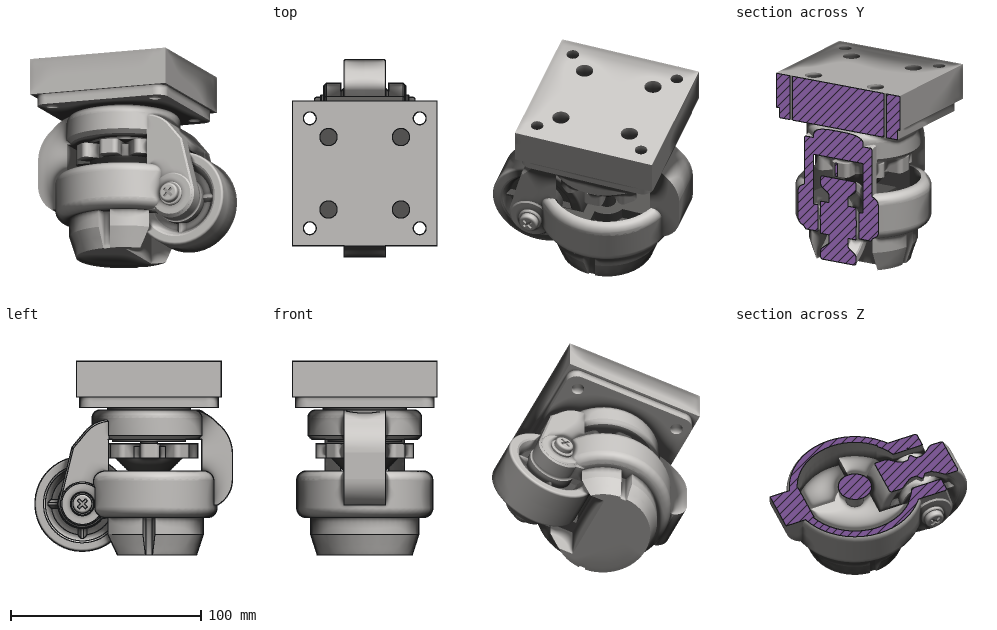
import cadquery as cq
import math


foot_taper_top = 10.9
ring_bottom = 19.8
floor_level = 31.2
ring_top = 44.3
knob_bottom = 51.1
knob_top = 58.65
collar_bottom = 59.7
housing_bottom = 60.9
housing_top = 76.4
flange_bottom = 77.6
plate_bottom = 83.06
overall_height = 102.11

plate_size = 76.2
flange_size = 73.0
flange_corner_radius = 6.0
outer_hole_diameter = 6.6
outer_hole_spacing = 57.8
inner_hole_diameter = 9.1
inner_hole_spacing = 38.1

housing_radius = 29.95
housing_fillet = 4.3
housing_chamfer = 2.1
bearing_radius = 21.9
collar_radius = 19.25

spindle_radius = 4.4
stem_radius = 4.8
lobe_count = 8
lobe_start_angle = 1.5
knob_radius = 25.65
lobe_width = 10.2
lobe_corner_radius = 2.6
knob_root_radius = 17.6
knob_body_top = 57.2
knob_cone_radius = 17.5

ring_radius = 35.85
ring_fillet = 5.1
ring_bore_radius = 30.3
floor_hub_radius = 10.3
pocket_bottom = 25.0
floor_rib_half_width = 3.5
foot_radius = 28.6
foot_tip_radius = 25.0
foot_slot_half_width = 18.8
foot_slot_start = 8.5
notch_floor_x = 24.0
notch_floor_half_width = 1.5
notch_wall_slope = 0.38

arm_half_width = 11.0
arm_front = -43.98
arm_back = -27.75
arm_root = (-22.0, housing_top)
arm_top_flat = ((-33.9, 71.5), (-36.3, 69.2))
arm_front_top = 54.0
arm_front_bottom = 39.9
arm_crown_point = (-28.4, 75.0)
arm_shoulder_point = (-41.7, 62.6)
arm_toe = (-36.2, 26.4)

axle_y = 35.0
axle_z = 27.0
fork_inner = 12.5
fork_outer = 21.0
fork_chamfer = 0.9
fork_front = 21.0
fork_bore_radius = 29.8
fork_end_radius = 12.4
boss_radius = 11.5
boss_chamfer = 0.7
boss_outer = 21.8
hood_top = 71.3
hood_crown_point = (27.8, 69.6)
hood_shoulder = (33.4, 65.3)
hood_lip = (40.5, 56.8)
wheel_radius = 25.0
wheel_half_width = 11.0
wheel_fillet = 1.2
wheel_clearance = 1.5
rim_inner_radius = 20.5
rim_bevel_radius = 19.5
dish_radius = 16.9
web_outer_radius = 16.4
wheel_bevel_depth = 0.5
hub_radius = 13.0
hub_tip_radius = 9.6
hub_tip_taper = 1.4
web_half_width = 6.0
spoke_count = 4
spoke_width = 4.8
spoke_top = 8.5
spoke_ridge_width = 1.2

washer_radius = 6.3
washer_outer = 23.3
washer_chamfer = 0.5
screw_radius = 5.0
screw_outer = 26.5
screw_fillet = 1.2
recess_length = 6.0
recess_width = 1.5
recess_depth = 1.2
recess_angle = 45


def disc(radius, bottom, top):
    """Cylinder on the swivel axis between two heights."""
    return cq.Workplane("XY").workplane(offset=bottom).circle(radius).extrude(top - bottom)


def axle_disc(radius, start, end):
    """Cylinder on the wheel axle between two X positions."""
    axle_plane = cq.Workplane("YZ", origin=(start, axle_y, axle_z))
    return axle_plane.circle(radius).extrude(end - start)


def block(x_range, y_range, z_range):
    """Box spanning the given ranges."""
    size = [high - low for low, high in (x_range, y_range, z_range)]
    corner = (x_range[0], y_range[0], z_range[0])
    return cq.Workplane("XY").box(*size, centered=False).translate(corner)


def both_sides(shape):
    """Shape together with its mirror image across the YZ plane."""
    return shape.union(shape.mirror("YZ"))


def make_mounting_plate():
    plate_height = overall_height - plate_bottom
    plate = (
        cq.Workplane("XY").workplane(offset=plate_bottom).rect(plate_size, plate_size)
        .extrude(plate_height)
        .faces(">Z").workplane(origin=(0, 0, overall_height))
        .rect(inner_hole_spacing, inner_hole_spacing, forConstruction=True).vertices()
        .hole(inner_hole_diameter)
    )
    flange = (
        cq.Workplane("XY").workplane(offset=flange_bottom).rect(flange_size, flange_size)
        .extrude(plate_bottom - flange_bottom)
        .edges("|Z").fillet(flange_corner_radius)
    )
    return (
        plate.union(flange).faces(">Z").workplane(origin=(0, 0, overall_height))
        .rect(outer_hole_spacing, outer_hole_spacing, forConstruction=True).vertices()
        .hole(outer_hole_diameter)
    )


def make_housing():
    housing = disc(housing_radius, housing_bottom, housing_top)
    housing = housing.faces(">Z").edges().fillet(housing_fillet)
    housing = housing.faces("<Z").edges().chamfer(housing_chamfer)
    bearing = disc(bearing_radius, housing_top, flange_bottom)
    collar = disc(collar_radius, collar_bottom, housing_bottom)
    return housing.union(bearing).union(collar)


def make_knob():
    knob = disc(knob_root_radius, knob_bottom, knob_body_top)
    lobe = block((0, knob_radius), (-lobe_width / 2, lobe_width / 2), (knob_bottom, knob_top))
    lobe = lobe.edges("|Z and >X").fillet(lobe_corner_radius)
    for index in range(lobe_count):
        knob = knob.union(lobe.rotate((0, 0, 0), (0, 0, 1), lobe_start_angle + index * 360 / lobe_count))
    cone_bottom = knob_bottom - (knob_cone_radius - stem_radius)
    stem_profile = [
        (0, floor_level),
        (stem_radius, floor_level),
        (stem_radius, cone_bottom),
        (knob_cone_radius, knob_bottom),
        (0, knob_bottom),
    ]
    stem = cq.Workplane("XZ").polyline(stem_profile).close().revolve(360, (0, 0, 0), (0, 1, 0))
    spindle = disc(spindle_radius, knob_bottom, collar_bottom)
    return knob.union(stem).union(spindle)


def make_ring():
    ring = disc(ring_radius, ring_bottom, ring_top).edges().fillet(ring_fillet)
    ring = ring.cut(disc(ring_bore_radius, floor_level, ring_top))
    pocket = block(
        (-ring_bore_radius, -floor_rib_half_width),
        (-ring_bore_radius, floor_rib_half_width),
        (pocket_bottom, floor_level),
    )
    pocket = pocket.intersect(disc(ring_bore_radius, pocket_bottom, floor_level))
    ring = ring.cut(pocket.cut(disc(floor_hub_radius, pocket_bottom, floor_level)))
    fork_space = block((-fork_outer, fork_outer), (fork_front, ring_radius), (ring_bottom, ring_top))
    return ring.cut(fork_space)


def make_foot():
    profile = [
        (0, 0),
        (foot_tip_radius, 0),
        (foot_radius, foot_taper_top),
        (foot_radius, ring_bottom),
        (0, ring_bottom),
    ]
    foot = cq.Workplane("XZ").polyline(profile).close().revolve(360, (0, 0, 0), (0, 1, 0))
    wheel_slot = block(
        (-foot_slot_half_width, foot_slot_half_width), (foot_slot_start, foot_radius), (0, ring_bottom)
    )
    notch_mouth = notch_floor_half_width + notch_wall_slope * (foot_radius - notch_floor_x)
    notch = (
        cq.Workplane("XY")
        .polyline([
            (notch_floor_x, -notch_floor_half_width),
            (foot_radius, -notch_mouth),
            (foot_radius, notch_mouth),
            (notch_floor_x, notch_floor_half_width),
        ])
        .close().extrude(ring_bottom)
    )
    return foot.cut(wheel_slot).cut(both_sides(notch))


def make_front_arm():
    arm_profile = (
        cq.Workplane("YZ", origin=(-arm_half_width, 0, 0))
        .moveTo(arm_back, arm_toe[1])
        .lineTo(arm_back, housing_bottom)
        .lineTo(arm_root[0], housing_bottom)
        .lineTo(*arm_root)
        .threePointArc(arm_crown_point, arm_top_flat[0])
        .lineTo(*arm_top_flat[1])
        .threePointArc(arm_shoulder_point, (arm_front, arm_front_top))
        .lineTo(arm_front, arm_front_bottom)
        .tangentArcPoint(arm_toe, relative=False)
        .close()
    )
    return arm_profile.extrude(2 * arm_half_width)


def wheel_clearance_space():
    return axle_disc(wheel_radius + wheel_clearance, -fork_inner, fork_inner)


def make_fork():
    lip_y = hood_lip[0] - axle_y
    lip_z = hood_lip[1] - axle_z
    lip_distance = math.hypot(lip_y, lip_z)
    tangent_angle = math.atan2(lip_z, lip_y) - math.acos(fork_end_radius / lip_distance)
    round_end_middle = math.radians(-60)
    round_end_stop = math.radians(-140)

    def on_round_end(angle):
        return (axle_y + fork_end_radius * math.cos(angle), axle_z + fork_end_radius * math.sin(angle))

    fork = (
        cq.Workplane("YZ", origin=(-fork_outer, 0, 0))
        .moveTo(fork_front, ring_bottom)
        .lineTo(fork_front, hood_top)
        .threePointArc(hood_crown_point, hood_shoulder)
        .lineTo(*hood_lip)
        .lineTo(*on_round_end(tangent_angle))
        .threePointArc(on_round_end(round_end_middle), on_round_end(round_end_stop))
        .close()
        .extrude(2 * fork_outer)
    )
    front_edge = cq.selectors.BoxSelector(
        (-fork_outer - 1, fork_front - 1, 0), (fork_outer + 1, fork_front + 1, overall_height)
    )
    outer_edges = fork.faces("<X or >X").edges().edges(cq.selectors.InverseSelector(front_edge))
    fork = outer_edges.chamfer(fork_chamfer)
    behind_hood = block((-fork_inner, fork_inner), (hood_lip[0], axle_y + wheel_radius), (0, hood_top))
    fork = fork.cut(behind_hood)
    fork = fork.cut(disc(fork_bore_radius, floor_level, housing_bottom))
    boss = axle_disc(boss_radius, fork_inner, boss_outer).faces(">X").edges().chamfer(boss_chamfer)
    return fork.union(both_sides(boss))


def make_wheel():
    half_profile = [
        (0, 0),
        (0, wheel_half_width),
        (hub_radius, wheel_half_width),
        (hub_radius, web_half_width),
        (web_outer_radius, web_half_width),
        (dish_radius, web_half_width + wheel_bevel_depth),
        (rim_bevel_radius, wheel_half_width - wheel_bevel_depth),
        (rim_inner_radius, wheel_half_width),
        (wheel_radius, wheel_half_width),
        (wheel_radius, 0),
    ]
    tread_edge = cq.selectors.RadiusNthSelector(-1)
    wheel = cq.Workplane("XY").polyline(half_profile).close().revolve(360, (0, 0, 0), (0, 1, 0))
    wheel = wheel.faces(">Y").edges(tread_edge).fillet(wheel_fillet)
    ridge_height = spoke_top - web_half_width
    spoke = (
        cq.Workplane("YZ")
        .polyline([
            (web_half_width, -spoke_width / 2),
            (web_half_width + ridge_height, -spoke_ridge_width / 2),
            (web_half_width + ridge_height, spoke_ridge_width / 2),
            (web_half_width, spoke_width / 2),
        ])
        .close().extrude(rim_inner_radius)
    )
    for index in range(spoke_count):
        wheel = wheel.union(spoke.rotate((0, 0, 0), (0, 1, 0), index * 360 / spoke_count))
    wheel = wheel.rotate((0, 0, 0), (0, 0, 1), -90).translate((0, axle_y, axle_z))
    hub_tip = axle_disc(hub_tip_radius, wheel_half_width, fork_inner)
    hub_tip = hub_tip.faces(">X").edges().chamfer(hub_tip_taper)
    return both_sides(wheel.union(hub_tip))


def make_axle_screw():
    washer = axle_disc(washer_radius, boss_outer, washer_outer).faces(">X").edges().chamfer(washer_chamfer)
    head = axle_disc(screw_radius, washer_outer, screw_outer).faces(">X").edges().fillet(screw_fillet)
    recess_plane = cq.Workplane("YZ", origin=(screw_outer - recess_depth, axle_y, axle_z))
    recess = (
        recess_plane.rect(recess_length, recess_width).extrude(recess_depth)
        .union(recess_plane.rect(recess_width, recess_length).extrude(recess_depth))
        .rotate((0, axle_y, axle_z), (1, axle_y, axle_z), recess_angle)
    )
    return washer.union(head.cut(recess))


body = make_ring().union(make_foot()).union(make_fork()).cut(wheel_clearance_space())
body = body.union(make_housing()).union(make_front_arm()).union(make_knob())
body = body.union(make_mounting_plate())
result = body.union(make_wheel()).union(both_sides(make_axle_screw()))